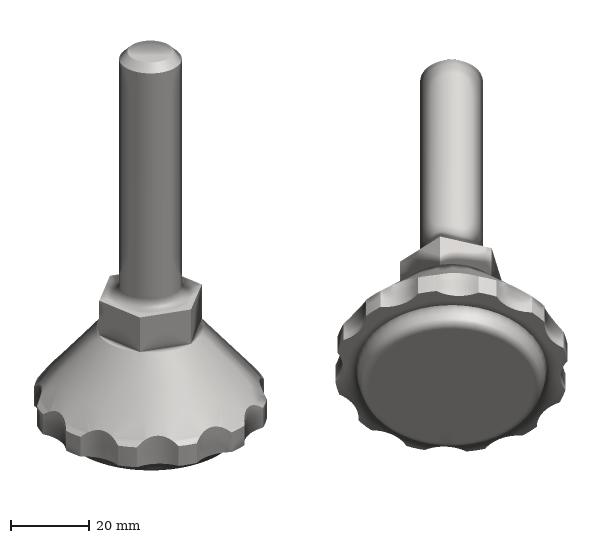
import cadquery as cq
import math

total_height = 110.0
pad_height = 5.3
rim_top = 11.0
housing_top = 30.0
hex_top = 40.0

shaft_diameter = 16.1
shaft_chamfer = 2.1
hex_across_flats = 24.0
hex_across_corners = hex_across_flats / math.cos(math.radians(30))
neck_fillet = 2.5

housing_diameter = 60.0
housing_top_diameter = hex_across_corners
scallop_count = 12
scallop_radius = 10.0
scallop_valley_radius = 27.9
scallop_center_radius = scallop_valley_radius + scallop_radius

pad_top_radius = 24.5
pad_corner_radius = 22.8
pad_fillet = 2.3


def make_pad():
    """Tapered round pad, narrower at the floor, with a rounded bottom edge."""
    profile = [(0, 0), (pad_corner_radius, 0), (pad_top_radius, pad_height), (0, pad_height)]
    pad = cq.Workplane("XZ").polyline(profile).close().revolve(360, (0, 0), (0, 1))
    return pad.faces("<Z").edges().fillet(pad_fillet)


def make_scallop_cutters():
    """Upright cylinders, one between each pair of neighbouring rim lands."""
    half_pitch = 180 / scallop_count
    return (
        cq.Workplane("XY")
        .workplane(offset=pad_height)
        .polarArray(scallop_center_radius, half_pitch, 360, scallop_count)
        .circle(scallop_radius)
        .extrude(housing_top - pad_height)
    )


def make_housing():
    """Conical housing above a short cylindrical rim with finger scallops."""
    profile = [
        (0, pad_height),
        (housing_diameter / 2, pad_height),
        (housing_diameter / 2, rim_top),
        (housing_top_diameter / 2, housing_top),
        (0, housing_top),
    ]
    blank = cq.Workplane("XZ").polyline(profile).close().revolve(360, (0, 0), (0, 1))
    return blank.cut(make_scallop_cutters())


def make_stud():
    """Hexagon with flats facing +Y and -Y, carrying a chamfered round shaft."""
    hexagon = (
        cq.Workplane("XY")
        .workplane(offset=housing_top)
        .polygon(6, hex_across_corners)
        .extrude(hex_top - housing_top)
    )
    stud = hexagon.faces(">Z").workplane().circle(shaft_diameter / 2).extrude(total_height - hex_top)
    stud = stud.faces(">Z").edges().chamfer(shaft_chamfer)
    return stud.edges("%CIRCLE").edges("<Z").fillet(neck_fillet)


pad = make_pad()
housing = make_housing()
stud = make_stud()

result = cq.Compound.makeCompound([pad.val(), housing.val(), stud.val()])